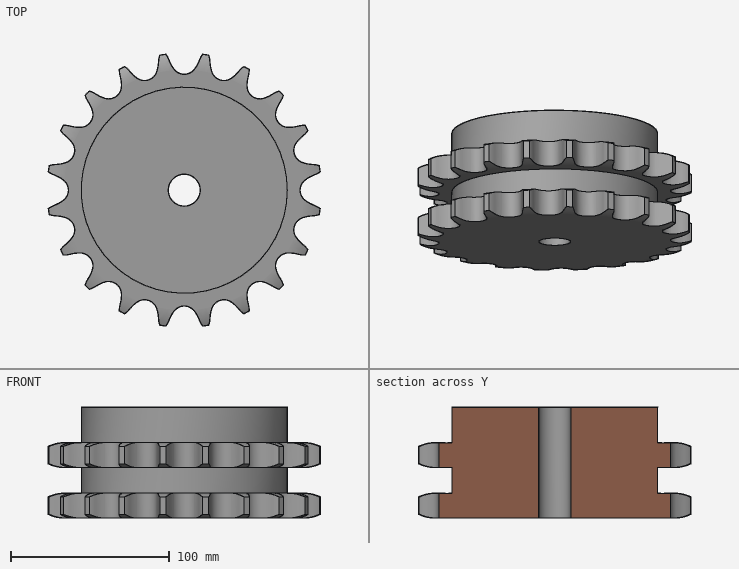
import cadquery as cq
import math

tooth_count = 20
chain_pitch = 25.4
roller_diameter = 15.875
row_spacing = 31.88
row_thickness = 15.8
outer_diameter = 173.2
hub_diameter = 130.0
bore_diameter = 20.0
total_height = 70.0

side_round_radius = chain_pitch
side_round_start = 75.8

pitch_angle = 360 / tooth_count
half_pitch_angle = math.radians(pitch_angle / 2)
pitch_radius = chain_pitch / 2 / math.sin(half_pitch_angle)
outer_radius = outer_diameter / 2
seat_clearance = 0.038
seat_radius = 0.5025 * roller_diameter + seat_clearance
working_radius = 1.3025 * roller_diameter + seat_clearance
seat_end_angle = math.radians(90 - (35 + 60 / tooth_count))
working_end_angle = seat_end_angle + math.radians(18 - 56 / tooth_count)
topping_center_distance = 1.4 * roller_diameter
gap_overshoot = 2.0
gap_top_height = outer_radius + gap_overshoot


def point_on_arc(center, radius, angle):
    """Point at an angle measured from straight down (toward the axis) to +X."""
    return (center[0] + radius * math.sin(angle), center[1] - radius * math.cos(angle))


def mirrored(point):
    return (-point[0], point[1])


def make_tooth_gap():
    """Cutter for the gap centred on +Y, as tall as one tooth row."""
    roller_center = (0, pitch_radius)
    root = point_on_arc(roller_center, seat_radius, 0)
    seat_end = point_on_arc(roller_center, seat_radius, seat_end_angle)

    working_center = point_on_arc(roller_center, seat_radius - working_radius, seat_end_angle)
    working_middle_angle = (seat_end_angle + working_end_angle) / 2
    working_middle = point_on_arc(working_center, working_radius, working_middle_angle)
    working_end = point_on_arc(working_center, working_radius, working_end_angle)

    topping_center = (
        topping_center_distance * math.cos(half_pitch_angle),
        pitch_radius - topping_center_distance * math.sin(half_pitch_angle),
    )
    normal = (math.sin(working_end_angle), -math.cos(working_end_angle))
    topping_radius = sum((topping_center[i] - working_end[i]) * normal[i] for i in range(2))
    flank_end = point_on_arc(topping_center, -topping_radius, working_end_angle)

    def topping_point(height):
        rise = height - topping_center[1]
        return (topping_center[0] - math.sqrt(topping_radius**2 - rise**2), height)

    topping_end = topping_point(gap_top_height)
    topping_middle = topping_point((flank_end[1] + gap_top_height) / 2)

    outline = (
        cq.Workplane("XY")
        .moveTo(*mirrored(seat_end))
        .threePointArc(root, seat_end)
        .threePointArc(working_middle, working_end)
        .lineTo(*flank_end)
        .threePointArc(topping_middle, topping_end)
        .lineTo(*mirrored(topping_end))
        .threePointArc(mirrored(topping_middle), mirrored(flank_end))
        .lineTo(*mirrored(working_end))
        .threePointArc(mirrored(working_middle), mirrored(seat_end))
        .close()
    )
    return outline.extrude(row_thickness)


def make_disc_blank():
    """Disc whose rim curves in from both faces toward the tooth tips."""

    def side_drop(radius):
        reach = radius - side_round_start
        return side_round_radius - math.sqrt(side_round_radius**2 - reach**2)

    middle_radius = (side_round_start + outer_radius) / 2
    tip_drop = side_drop(outer_radius)
    middle_drop = side_drop(middle_radius)
    return (
        cq.Workplane("XZ")
        .moveTo(0, 0)
        .lineTo(side_round_start, 0)
        .threePointArc((middle_radius, middle_drop), (outer_radius, tip_drop))
        .lineTo(outer_radius, row_thickness - tip_drop)
        .threePointArc(
            (middle_radius, row_thickness - middle_drop), (side_round_start, row_thickness)
        )
        .lineTo(0, row_thickness)
        .close()
        .revolve(360, (0, 0, 0), (0, 1, 0))
    )


def make_tooth_row():
    row = make_disc_blank()
    gap = make_tooth_gap()
    for index in range(tooth_count):
        row = row.cut(gap.rotate((0, 0, 0), (0, 0, 1), index * pitch_angle))
    return row


def make_sprocket():
    hub = cq.Workplane("XY").circle(hub_diameter / 2).extrude(total_height)
    bore = cq.Workplane("XY").circle(bore_diameter / 2).extrude(total_height)
    row = make_tooth_row()
    upper_row = row.translate((0, 0, row_spacing))
    return hub.union(row).union(upper_row).cut(bore)


result = make_sprocket()